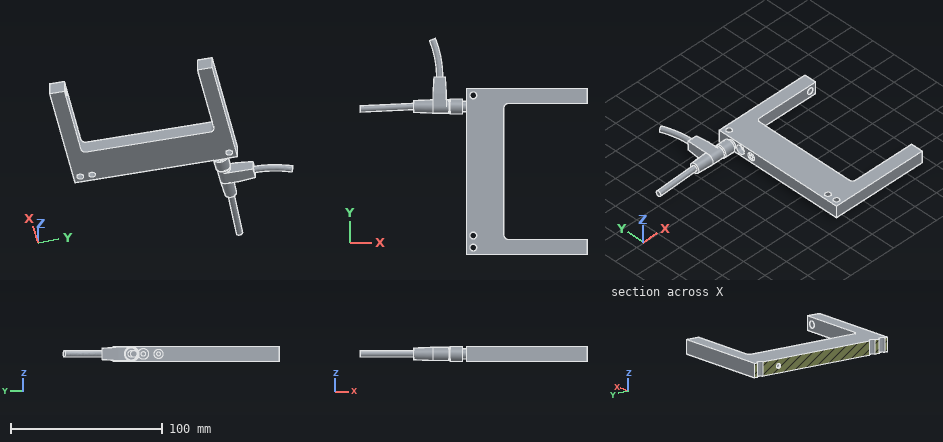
import cadquery as cq


overall_length = 150.2

thickness = 10.0
housing_length = 80.0
housing_width = 110.0
back_depth = 25.0
arm_width = 10.0
inner_corner_radius = 3.0
housing_top = 12.0
housing_bottom = housing_top - housing_width
housing_mid_y = (housing_top + housing_bottom) / 2

mount_hole_diameter = 4.4
mount_hole_inset = 4.7
mount_hole_pitch = 8.0

window_diameter = 5.0
window_depth = 0.3
window_inset = 5.0

adjuster_below_top = 20.0
adjuster_recess_diameter = 7.0
adjuster_recess_depth = 3.8
adjuster_hole_diameter = 3.0
adjuster_hole_depth = 6.0

indicator_below_top = 30.0
indicator_recess_diameter = 6.0
indicator_recess_depth = 1.2
indicator_stud_diameter = 2.5

neck_diameter = 7.0
neck_length = 2.4
nut_diameter = 10.0
nut_length = 8.3
spigot_diameter = 6.5
spigot_length = 0.9
nut_rear = -(neck_length + nut_length)
connector_rear = nut_rear - spigot_length

plug_diameter = 9.0
collar_length = 1.5
elbow_width = plug_diameter
elbow_straight_length = 8.4
elbow_total_length = 19.5
elbow_tip_size = 7.7
elbow_front = connector_rear - collar_length
elbow_rear = elbow_front - elbow_width
elbow_center = (elbow_front + elbow_rear) / 2

sleeve_length = 12.8
sleeve_tip_diameter = 8.0
sleeve_rear = elbow_rear - sleeve_length

cable_diameter = 4.4
straight_cable_end_x = housing_length - overall_length
straight_cable_drop = 1.7
bent_cable_rise = 24.8
bent_cable_shift = 4.8
bent_cable_sag = 1.2


def x_cylinder(diameter, start_x, length, y=0.0):
    """Cylinder along +X from start_x, centred in the thickness."""
    return cq.Workplane("YZ", origin=(start_x, y, 0)).circle(diameter / 2).extrude(length)


def make_adjuster_cutter():
    """Counterbored hole entering the rear face."""
    y = housing_top - adjuster_below_top
    recess = x_cylinder(adjuster_recess_diameter, 0, adjuster_recess_depth, y)
    hole = x_cylinder(adjuster_hole_diameter, 0, adjuster_hole_depth, y)
    return recess.union(hole)


def make_indicator_cutter():
    """Ring-shaped recess that leaves a stud flush with the rear face."""
    y = housing_top - indicator_below_top
    recess = x_cylinder(indicator_recess_diameter, 0, indicator_recess_depth, y)
    stud = x_cylinder(indicator_stud_diameter, 0, indicator_recess_depth, y)
    return recess.cut(stud)


def make_housing():
    """U-shaped block with mounting holes, windows and rear-face recesses."""
    gap_width = housing_width - 2 * arm_width
    block = cq.Workplane("XY").box(housing_length, housing_width, thickness).translate(
        (housing_length / 2, housing_mid_y, 0)
    )
    opening_length = housing_length - back_depth
    opening = (
        cq.Workplane("XY")
        .box(opening_length, gap_width, thickness)
        .edges("|Z and <X")
        .fillet(inner_corner_radius)
        .translate((back_depth + opening_length / 2, housing_mid_y, 0))
    )
    hole_ys = [
        housing_top - mount_hole_inset,
        housing_bottom + mount_hole_inset + mount_hole_pitch,
        housing_bottom + mount_hole_inset,
    ]
    holes = (
        cq.Workplane("XY", origin=(0, 0, -thickness / 2))
        .pushPoints([(mount_hole_inset, y) for y in hole_ys])
        .circle(mount_hole_diameter / 2)
        .extrude(thickness)
    )
    window_x = housing_length - window_inset
    windows = (
        cq.Workplane("XZ", origin=(window_x, housing_mid_y, 0))
        .circle(window_diameter / 2)
        .extrude(gap_width / 2 + window_depth, both=True)
    )
    housing = block.cut(opening).cut(holes).cut(windows)
    return housing.cut(make_adjuster_cutter()).cut(make_indicator_cutter())


def make_connector():
    """Neck, nut and spigot turned about the connector axis."""
    neck = x_cylinder(neck_diameter, -neck_length, neck_length)
    nut = x_cylinder(nut_diameter, nut_rear, nut_length)
    spigot = x_cylinder(spigot_diameter, connector_rear, spigot_length)
    return neck.union(nut).union(spigot)


def make_elbow_plug():
    """Barrel with a square side arm that tapers to a bent cable."""
    barrel = x_cylinder(plug_diameter, elbow_rear, elbow_width + collar_length)
    block = cq.Workplane("XY").box(elbow_width, elbow_straight_length, plug_diameter).translate(
        (elbow_center, elbow_straight_length / 2, 0)
    )
    taper_length = elbow_total_length - elbow_straight_length
    taper = (
        cq.Workplane("XZ", origin=(elbow_center, elbow_total_length, 0))
        .rect(elbow_tip_size, elbow_tip_size)
        .workplane(offset=taper_length)
        .rect(elbow_width, plug_diameter)
        .loft()
    )
    cable_path = (
        cq.Workplane("XY")
        .moveTo(elbow_center, elbow_total_length)
        .sagittaArc(
            (elbow_center - bent_cable_shift, elbow_total_length + bent_cable_rise), -bent_cable_sag
        )
    )
    cable = (
        cq.Workplane("XZ", origin=(elbow_center, elbow_total_length, 0))
        .circle(cable_diameter / 2)
        .sweep(cable_path)
    )
    return barrel.union(block).union(taper).union(cable)


def make_straight_plug():
    """Conical sleeve behind the elbow plug, with its cable."""
    sleeve = (
        cq.Workplane("YZ", origin=(sleeve_rear, 0, 0))
        .circle(sleeve_tip_diameter / 2)
        .workplane(offset=sleeve_length)
        .circle(plug_diameter / 2)
        .loft()
    )
    cable_path = (
        cq.Workplane("XY")
        .moveTo(sleeve_rear, 0)
        .lineTo(straight_cable_end_x, -straight_cable_drop)
    )
    cable = (
        cq.Workplane("YZ", origin=(sleeve_rear, 0, 0))
        .circle(cable_diameter / 2)
        .sweep(cable_path)
    )
    return sleeve.union(cable)


housing = make_housing()
connector = make_connector()
elbow_plug = make_elbow_plug()
straight_plug = make_straight_plug()

result = cq.Compound.makeCompound(
    [housing.val(), connector.val(), elbow_plug.val(), straight_plug.val()]
)